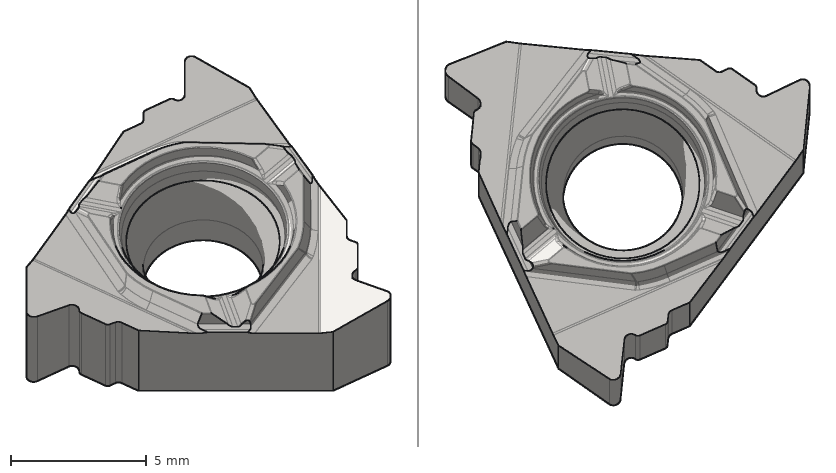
import cadquery as cq
import math

TOOTH_ANGLES = (0, 120, 240)

inscribed_radius = 4.75
total_height = 4.1
floor_height = 3.52
blank_radius = 9.4

flank_slope = math.tan(math.radians(60))
tip_x = -3.37
tip_y = -6.92
tip_radius = 0.27
valley_apex_y = -5.24
valley_radius = 0.25
crest_y = -5.71
crest_end_x = -0.77
crest_radius = 0.16
relief_y = -5.3
relief_radius = 0.23

rake_angle = 10.0
rake_start = 4.28
bend_radius = 0.45

front_wall_distance = 3.7
back_wall_distance = 3.63
back_wall_turn = 31.6
front_wall_draft = 30.0
back_wall_draft = 25.0
wall_corner_radius = 0.13
root_radius = 0.32

side_wall_distance = 4.26
side_wall_draft = 24.0
side_land_height = 3.59
side_root_radius = 0.21

slot_turn = 166.5
slot_offset = 0.15
slot_floor = 3.61
slot_floor_width = 0.34
slot_top_width = 1.53
slot_root_radius = 0.23
slot_start = 2.42
slot_length = 4.03
slot_over_height = 0.13

hole_radius = 2.2
trumpet_corner_height = 2.18
trumpet_radius = 2.28
blend_corner_radius = 2.97
blend_corner_height = 2.98
blend_radius = 0.73
ledge_height = slot_floor
ledge_inner_radius = 3.1
ledge_edge_radius = 0.05
recess_bottom_radius = 3.29
recess_root_radius = 0.16
recess_top_radius = 3.42

top_edge_radius = 0.04
slot_corner_radius = 0.13


def spun(shape, angle):
    """Turn a shape about the hole axis."""
    return shape.rotate((0, 0, 0), (0, 0, 1), angle)


def turned_point(x, y, angle):
    a = math.radians(angle)
    return (x * math.cos(a) - y * math.sin(a), x * math.sin(a) + y * math.cos(a))


def corner_arc(before, corner, after, radius):
    """Start, middle and end of the arc that rounds a corner."""
    here = cq.Vector(*corner)
    to_before = (cq.Vector(*before) - here).normalized()
    to_after = (cq.Vector(*after) - here).normalized()
    half_angle = to_before.getAngle(to_after) / 2
    setback = radius / math.tan(half_angle)
    bisector = (to_before + to_after).normalized()
    middle = here + bisector * (radius / math.sin(half_angle) - radius)
    return [
        (p.x, p.y)
        for p in (here + to_before * setback, middle, here + to_after * setback)
    ]


def rounded_outline(plane, corners):
    """Closed outline on a workplane from sharp corners (u, v, rounding radius).

    The first corner must be sharp."""
    path = plane.moveTo(*corners[0][:2])
    for i in range(1, len(corners)):
        u, v, radius = corners[i]
        if radius:
            before = corners[i - 1][:2]
            after = corners[(i + 1) % len(corners)][:2]
            start, middle, end = corner_arc(before, (u, v), after, radius)
            path = path.lineTo(*start).threePointArc(middle, end)
        else:
            path = path.lineTo(u, v)
    return path.close()


def make_outline():
    """Full-height prism of the insert outline with rounded teeth."""
    apex_y = tip_y - tip_radius
    shoulder_y = apex_y + (inscribed_radius + tip_x) * flank_slope
    valley_x = tip_x + (valley_apex_y - apex_y) / flank_slope
    crest_start_x = valley_x + (valley_apex_y - crest_y) / flank_slope
    relief_start_x = crest_end_x + (relief_y - crest_y) / flank_slope
    relief_end_x = 2 * inscribed_radius + relief_y * flank_slope
    tooth = [
        (-inscribed_radius, shoulder_y, 0),
        (tip_x, apex_y, tip_radius),
        (valley_x, valley_apex_y, valley_radius),
        (crest_start_x, crest_y, crest_radius),
        (crest_end_x, crest_y, crest_radius),
        (relief_start_x, relief_y, relief_radius),
        (relief_end_x, relief_y, 0),
    ]
    corners = [
        (*turned_point(x, y, angle), radius)
        for angle in TOOTH_ANGLES
        for x, y, radius in tooth
    ]
    return rounded_outline(cq.Workplane(), corners).extrude(total_height)


def wall_foot(top_distance, draft, bottom_height):
    """Distance of a wall's foot from the hole axis."""
    return top_distance + (total_height - bottom_height) * math.tan(math.radians(draft))


def cut_wall(block, angle, top_distance, draft):
    """Cut a drafted wall that faces -Y before it is turned by angle."""
    outside = (
        cq.Workplane("YZ")
        .polyline([
            (-top_distance, total_height),
            (-wall_foot(top_distance, draft, floor_height), floor_height),
            (-2 * blank_radius, floor_height),
            (-2 * blank_radius, total_height),
        ])
        .close()
        .extrude(blank_radius, both=True)
    )
    return block.cut(spun(outside, angle))


def make_chip_breaker():
    """Island whose front walls curve, as a concentric cone, into the back walls."""
    rise = total_height - floor_height
    floor_plane = cq.Workplane().workplane(offset=floor_height)
    island = floor_plane.circle(blank_radius).extrude(rise)
    cone = (
        cq.Workplane("XZ")
        .polyline([
            (0, floor_height),
            (wall_foot(front_wall_distance, front_wall_draft, floor_height), floor_height),
            (front_wall_distance, total_height),
            (0, total_height),
        ])
        .close()
        .revolve(360, (0, 0), (0, 1))
    )
    beyond_cone = (
        floor_plane
        .polyline([(0, 0), (0, -blank_radius), turned_point(0, -blank_radius, -back_wall_turn)])
        .close()
        .extrude(rise)
        .cut(cone)
    )
    for angle in TOOTH_ANGLES:
        island = cut_wall(island, angle, front_wall_distance, front_wall_draft)
        island = cut_wall(island, angle - back_wall_turn, back_wall_distance, back_wall_draft)
        island = island.cut(spun(beyond_cone, angle))

    middle_height = floor_height + rise / 2
    cone_radius = wall_foot(front_wall_distance, front_wall_draft, middle_height)
    back_distance = wall_foot(back_wall_distance, back_wall_draft, middle_height)
    edge_turn = back_wall_turn - math.degrees(math.acos(back_distance / cone_radius))
    for angle in TOOTH_ANGLES:
        x, y = turned_point(0, -cone_radius, angle - edge_turn)
        edge = cq.selectors.NearestToPointSelector((x, y, middle_height))
        island = island.edges(edge).fillet(wall_corner_radius)
    return island


def make_side_cut(angle):
    """Space above the land along one long flat side, rounded at the wall's foot."""
    foot_distance = wall_foot(side_wall_distance, side_wall_draft, side_land_height)
    corners = [
        (-side_wall_distance, total_height, 0),
        (-foot_distance, side_land_height, side_root_radius),
        (-blank_radius, side_land_height, 0),
        (-blank_radius, total_height, 0),
    ]
    space = rounded_outline(cq.Workplane("XZ"), corners).extrude(blank_radius, both=True)
    return spun(space, angle)


def make_rake(angle):
    """Wedge that rises from the floor towards a tooth, blended at the bend."""
    slope = math.tan(math.radians(rake_angle))
    flat_start = -rake_start + bend_radius
    corners = [
        (flat_start, 0, 0),
        (flat_start, floor_height, 0),
        (-rake_start, floor_height, bend_radius),
        (-blank_radius, floor_height + (blank_radius - rake_start) * slope, 0),
        (-blank_radius, 0, 0),
    ]
    wedge = rounded_outline(cq.Workplane("YZ"), corners).extrude(blank_radius, both=True)
    return spun(wedge, angle)


def slot_half_width(height):
    """Half the distance between the straight slot sides at a height."""
    side_slope = (slot_top_width - slot_floor_width) / 2 / (total_height - slot_floor)
    return slot_floor_width / 2 + (height - slot_floor) * side_slope


def make_slot(angle):
    """Flat-bottomed V slot with rounded roots."""
    half_floor = slot_floor_width / 2
    over_height = total_height + slot_over_height
    over_half_width = slot_half_width(over_height)
    corners = [
        (-over_half_width, over_height, 0),
        (-half_floor, slot_floor, slot_root_radius),
        (half_floor, slot_floor, slot_root_radius),
        (over_half_width, over_height, 0),
    ]
    plane = cq.Workplane("XZ", origin=(-slot_offset, -slot_start, 0))
    return spun(rounded_outline(plane, corners).extrude(slot_length), angle + slot_turn)


def make_hole():
    """Bore, convex trumpet, concave blend, tapered neck, ledge and top recess."""
    corners = [
        (0, 0, 0),
        (hole_radius, 0, 0),
        (hole_radius, trumpet_corner_height, trumpet_radius),
        (blend_corner_radius, blend_corner_height, blend_radius),
        (ledge_inner_radius, ledge_height, ledge_edge_radius),
        (recess_bottom_radius, ledge_height, recess_root_radius),
        (recess_top_radius, total_height, 0),
        (0, total_height, 0),
    ]
    return rounded_outline(cq.Workplane("XZ"), corners).revolve(360, (0, 0), (0, 1))


def slot_corner_points(angle):
    """Points beside the edges where slot sides meet the recess and the back wall."""
    height = total_height - (total_height - slot_floor) / 4
    recess_radius = (recess_bottom_radius + recess_top_radius) / 2
    left = -slot_offset - slot_half_width(height)
    right = -slot_offset + slot_half_width(height)
    wall_turn = math.radians(TOOTH_ANGLES[-1] - back_wall_turn - slot_turn)
    wall_distance = wall_foot(back_wall_distance, back_wall_draft, height)
    wall_y = (right * math.sin(wall_turn) - wall_distance) / math.cos(wall_turn)
    places = [(x, -math.sqrt(recess_radius**2 - x**2)) for x in (left, right)]
    places.append((right, wall_y))
    return [(*turned_point(x, y, angle + slot_turn), height) for x, y in places]


blank = (
    cq.Workplane()
    .rect(2 * blank_radius, 2 * blank_radius)
    .extrude(floor_height)
    .union(make_chip_breaker())
)
root_reach = 0.9 * blank_radius
root_tolerance = 0.01
root_edges = cq.selectors.BoxSelector(
    (-root_reach, -root_reach, floor_height - root_tolerance),
    (root_reach, root_reach, floor_height + root_tolerance),
)
blank = blank.edges(root_edges).fillet(root_radius)

for tooth_angle in TOOTH_ANGLES:
    blank = blank.cut(make_side_cut(tooth_angle))
for tooth_angle in TOOTH_ANGLES:
    blank = blank.union(make_rake(tooth_angle))
    blank = blank.cut(make_slot(tooth_angle))

result = blank.intersect(make_outline()).cut(make_hole())
for tooth_angle in TOOTH_ANGLES:
    for point in slot_corner_points(tooth_angle):
        corner_edge = cq.selectors.NearestToPointSelector(point)
        result = result.edges(corner_edge).fillet(slot_corner_radius)
result = result.faces(">Z").edges().fillet(top_edge_radius)